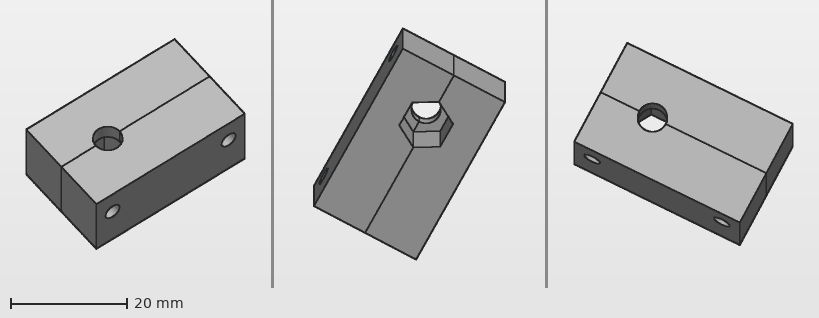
import cadquery as cq
import math

LENGTH = 32.0
WIDTH = 20.0
HEIGHT = 13.0
HALF_WIDTH = WIDTH / 2

BORE_DIAMETER = 5.1
BORE_Y = 10.0

BORE_DEPTH = 3.0
POCKET_DEPTH = HEIGHT - BORE_DEPTH
POCKET_ACROSS_FLATS = 8.0
POCKET_ACROSS_CORNERS = POCKET_ACROSS_FLATS / math.cos(math.radians(30))
POCKET_TURN = 30

SCREW_DIAMETER = 3.0
FRONT_SCREW = (3.5, 8.0)
BACK_SCREW = (28.5, 8.25)


def half_block(start_x):
    """One half of the block, its lowest X face at start_x."""
    block = cq.Workplane("XY").box(HALF_WIDTH, LENGTH, HEIGHT, centered=False)
    block = block.translate((start_x, 0, 0))
    return block.cut(vertical_bore()).cut(nut_pocket()).cut(screw_holes())


def vertical_bore():
    """Cutter for the bore centred on the split plane."""
    return cq.Workplane("XY").center(0, BORE_Y).circle(BORE_DIAMETER / 2).extrude(HEIGHT)


def nut_pocket():
    """Cutter for the hexagonal pocket, coaxial with the bore."""
    pocket = cq.Workplane("XY").polygon(6, POCKET_ACROSS_CORNERS).extrude(POCKET_DEPTH)
    return pocket.rotate((0, 0, 0), (0, 0, 1), POCKET_TURN).translate((0, BORE_Y, 0))


def screw_holes():
    """Cutters for the two cross holes, running through both halves."""
    return (
        cq.Workplane("YZ", origin=(-HALF_WIDTH, 0, 0))
        .pushPoints([FRONT_SCREW, BACK_SCREW])
        .circle(SCREW_DIAMETER / 2)
        .extrude(WIDTH)
    )


left_half = half_block(-HALF_WIDTH)
right_half = half_block(0)

result = cq.Compound.makeCompound([left_half.val(), right_half.val()])